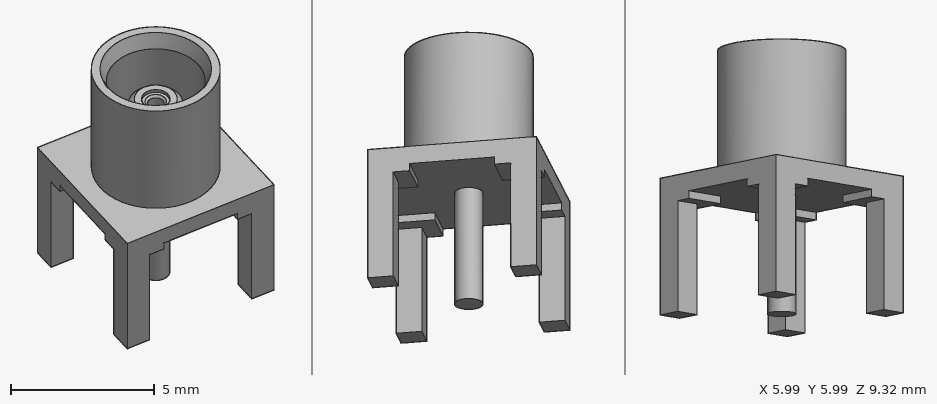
import cadquery as cq

total_height = 9.32
base_width = 5.99
base_top = 4.85
base_underside = 3.92
recess_ceiling = 4.19
leg_width = 0.91
step_width = 1.49

barrel_radius = 2.25
mouth_radius = 1.94
socket_radius = 1.72
mouth_depth = 0.57
socket_floor = base_top

insulator_radius = 0.95
insulator_chamfer = 0.205
insulator_top = 7.94

pin_radius = 0.49
contact_top = 7.82
countersink_radius = 0.37
bore_radius = 0.29
countersink_depth = countersink_radius - bore_radius
bore_floor = 6.52


def cylinder(radius, bottom, top):
    return cq.Workplane("XY").workplane(offset=bottom).circle(radius).extrude(top - bottom)


def cone(bottom_radius, top_radius, bottom, top):
    return (
        cq.Workplane("XY")
        .workplane(offset=bottom)
        .circle(bottom_radius)
        .workplane(offset=top - bottom)
        .circle(top_radius)
        .loft()
    )


def cross(corner_width, bottom, top):
    """Plus-shaped prism that leaves a square of corner_width at each base corner."""
    gap = base_width - 2 * corner_width
    height = top - bottom
    plane = cq.Workplane("XY").workplane(offset=bottom)
    return plane.rect(gap, base_width).extrude(height).union(plane.rect(base_width, gap).extrude(height))


def make_base():
    block = cq.Workplane("XY").rect(base_width, base_width).extrude(base_top)
    return block.cut(cross(leg_width, 0, base_underside)).cut(cross(step_width, 0, recess_ceiling))


def make_socket():
    barrel = cylinder(barrel_radius, base_top, total_height)
    mouth = cone(socket_radius, mouth_radius, total_height - mouth_depth, total_height)
    return barrel.cut(cylinder(socket_radius, socket_floor, total_height)).cut(mouth)


def make_insulator():
    body = cylinder(insulator_radius, socket_floor, insulator_top)
    body = body.faces(">Z").edges().chamfer(insulator_chamfer)
    return body.cut(cylinder(pin_radius, contact_top, insulator_top))


def make_contact_bore():
    countersink = cone(bore_radius, countersink_radius, contact_top - countersink_depth, contact_top)
    return cylinder(bore_radius, bore_floor, contact_top).union(countersink)


result = make_base().union(make_socket()).union(make_insulator())
result = result.union(cylinder(pin_radius, 0, contact_top)).cut(make_contact_bore())